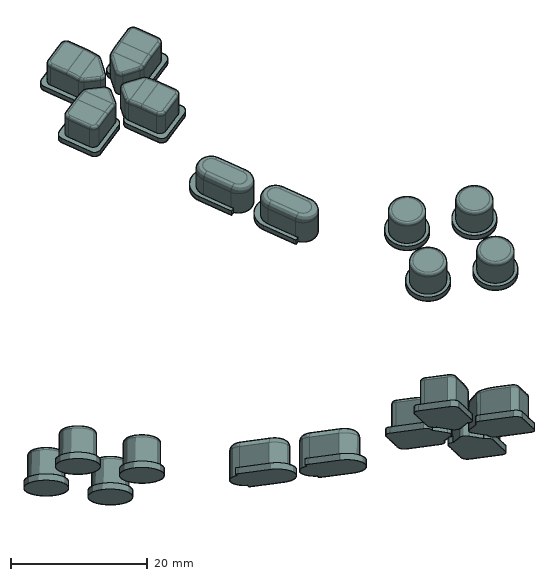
import cadquery as cq
import math

total_height = 5.5
flange_height = 1.0

pad_reach = 21.37 / 2
pad_flange_width = 7.0
pad_flange_inner = 3.4
pad_flange_lip = 0.7
pad_cap_width = pad_flange_width - 2 * pad_flange_lip
pad_cap_outer = pad_reach - pad_flange_lip
pad_point = 1.0
pad_shoulder = pad_point + pad_cap_width / 2
pad_corner_radius = 1.0
pad_top_fillet = 0.5
slope_start = 5.28
slope_angle = 12.0
slope_blend_radius = 10.0

oval_cap_width = 4.5
oval_straight = 4.65
oval_lip = 0.6
oval_left_extension = 0.4
oval_flange_overrun = 0.45
oval_top_fillet = 1.0
oval_spacing = 10.95
oval_y = -7.2

round_flange_diameter = 6.6
round_cap_diameter = 5.5
round_top_fillet = 0.5
round_offset_x = 7.5
round_offset_y = 6.75

overall_length = 78.88
round_group_x = overall_length - pad_reach - round_offset_x - round_flange_diameter / 2
oval_group_x = 28.65


def pad_cap_profile():
    """Side profile (Y, Z) of the cap: flat top blended into a slope towards the tip."""
    slope = math.radians(slope_angle)
    blend_length = slope_blend_radius * math.tan(slope / 2)
    blend_outer = (slope_start + blend_length, total_height)
    blend_middle = (
        slope_start + blend_length - slope_blend_radius * math.sin(slope / 2),
        total_height - slope_blend_radius * (1 - math.cos(slope / 2)),
    )
    blend_inner = (
        slope_start - blend_length * math.cos(slope),
        total_height - blend_length * math.sin(slope),
    )
    return (
        cq.Workplane("YZ")
        .moveTo(pad_cap_outer, 0)
        .lineTo(pad_cap_outer, total_height)
        .lineTo(*blend_outer)
        .threePointArc(blend_middle, blend_inner)
        .lineTo(0, total_height - slope_start * math.tan(slope))
        .lineTo(0, 0)
        .close()
        .extrude(pad_cap_width / 2, both=True)
    )


def pad_button():
    """Pointed cap with a sloped top on a rounded rectangular flange."""
    half_width = pad_cap_width / 2
    cap = (
        cq.Workplane("XY")
        .moveTo(0, pad_point)
        .lineTo(half_width, pad_shoulder)
        .lineTo(half_width, pad_cap_outer)
        .lineTo(-half_width, pad_cap_outer)
        .lineTo(-half_width, pad_shoulder)
        .close()
        .extrude(total_height)
        .edges("|Z")
        .fillet(pad_corner_radius)
        .intersect(pad_cap_profile())
    )
    cap = cap.faces(">Z").edges(">Y").fillet(pad_top_fillet)

    flange_length = pad_reach - pad_flange_inner
    flange = (
        cq.Workplane("XY")
        .center(0, pad_flange_inner + flange_length / 2)
        .rect(pad_flange_width, flange_length)
        .extrude(flange_height)
        .edges("|Z")
        .fillet(pad_corner_radius)
    )
    return flange.union(cap)


def oval_button():
    """Stadium-shaped cap on a flange that is longer at -X and cut short at +X."""
    cap_length = oval_straight + oval_cap_width
    cap = (
        cq.Workplane("XY")
        .slot2D(cap_length, oval_cap_width)
        .extrude(total_height)
        .faces(">Z")
        .edges()
        .fillet(oval_top_fillet)
    )

    flange_width = oval_cap_width + 2 * oval_lip
    arc_center_x = oval_straight / 2
    flange_length = oval_straight + oval_left_extension + flange_width
    flange = (
        cq.Workplane("XY")
        .center(-oval_left_extension / 2, 0)
        .slot2D(flange_length, flange_width)
        .extrude(flange_height)
    )
    end_cut = cq.Workplane("XY").box(
        flange_width, flange_width, flange_height, centered=(False, True, False)
    ).translate((arc_center_x + oval_flange_overrun, 0, 0))
    return flange.cut(end_cut).union(cap)


def round_button():
    """Round cap on a round flange."""
    cap = (
        cq.Workplane("XY")
        .circle(round_cap_diameter / 2)
        .extrude(total_height)
        .faces(">Z")
        .edges()
        .fillet(round_top_fillet)
    )
    flange = cq.Workplane("XY").circle(round_flange_diameter / 2).extrude(flange_height)
    return flange.union(cap)


bodies = []

for quarter_turn in range(4):
    button = pad_button().rotate((0, 0, 0), (0, 0, 1), 90 * quarter_turn)
    bodies.append(button.val())

for side in (-1, 1):
    button = oval_button().translate((oval_group_x + side * oval_spacing / 2, oval_y, 0))
    bodies.append(button.val())

round_offsets = [
    (-round_offset_x, 0),
    (round_offset_x, 0),
    (0, -round_offset_y),
    (0, round_offset_y),
]
for offset_x, offset_y in round_offsets:
    button = round_button().translate((round_group_x + offset_x, offset_y, 0))
    bodies.append(button.val())

result = cq.Compound.makeCompound(bodies)